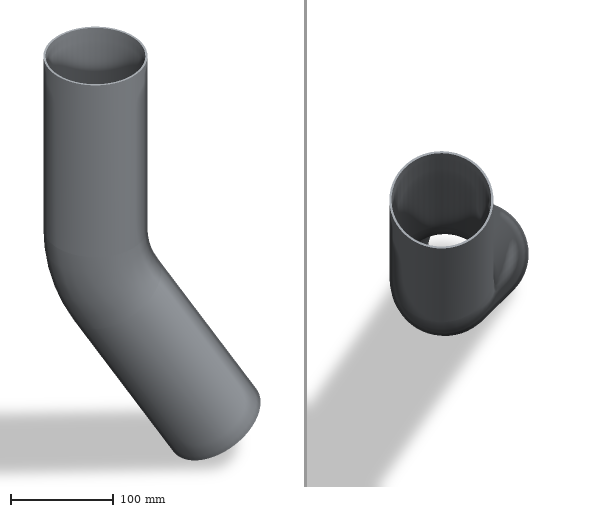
import cadquery as cq
import math

outer_diameter = 101.6
wall_thickness = 2.11
leg_length = 203.2
bend_radius = 1.5 * outer_diameter
bend_angle = 30.0

inner_diameter = outer_diameter - 2 * wall_thickness


def centreline():
    """Tube axis in the YZ plane, from the top end down; the bend starts at the origin."""

    def point_on_bend(angle_degrees):
        angle = math.radians(angle_degrees)
        return (bend_radius * (1 - math.cos(angle)), -bend_radius * math.sin(angle))

    bend_middle = point_on_bend(bend_angle / 2)
    bend_end = point_on_bend(bend_angle)
    lean = math.radians(bend_angle)
    lower_end = (
        bend_end[0] + leg_length * math.sin(lean),
        bend_end[1] - leg_length * math.cos(lean),
    )
    return (
        cq.Workplane("YZ")
        .moveTo(0, leg_length)
        .lineTo(0, 0)
        .threePointArc(bend_middle, bend_end)
        .lineTo(*lower_end)
    )


def bent_tube():
    """Ring section swept along the centreline, open at both ends."""
    return (
        cq.Workplane("XY", origin=(0, 0, leg_length))
        .circle(outer_diameter / 2)
        .circle(inner_diameter / 2)
        .sweep(centreline())
    )


result = bent_tube()